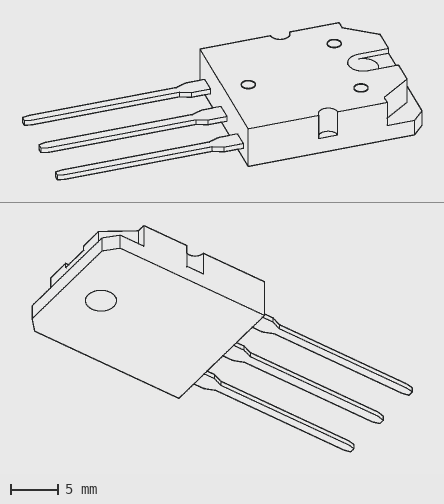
import cadquery as cq

width = 15.9
height = 4.8
total_length = 40.5
package_length = 19.93

tab_thickness = 1.85
tab_chamfer_x = 1.45
tab_chamfer_y = 1.35

body_setback = 0.97
body_end_width = 8.9
shoulder_y = -4.37
shoulder_inset = 1.0

hole_diameter = 3.3
slot_depth = 0.6

notch_radius = 1.05
notch_y = -10.98

mark_diameter = 1.5
mark_depth = 0.1
upper_mark_x = 4.4
upper_mark_y = -6.1
lower_mark_y = -17.2

lead_pitch = 5.43
lead_thickness = 0.6
lead_bottom = 1.35
lead_root_length = 2.15
lead_neck_length = 1.17
lead_tip_length = 0.8
lead_tip_width = 0.65
side_root_width = 1.95
side_lead_width = 0.97
center_root_width = 2.02
center_lead_width = 1.1


def symmetric_prism(right_side, bottom, thickness, center_x=0):
    """Extrude an outline given by its right half, mirrored about center_x."""
    right = [(center_x + x, y) for x, y in right_side]
    left = [(center_x - x, y) for x, y in reversed(right_side)]
    return cq.Workplane("XY").workplane(offset=bottom).polyline(right + left).close().extrude(thickness)


def make_tab():
    outline = [
        (width / 2 - tab_chamfer_x, 0),
        (width / 2, -tab_chamfer_y),
        (width / 2, -package_length),
    ]
    return symmetric_prism(outline, 0, tab_thickness)


def make_body():
    outline = [
        (body_end_width / 2, -body_setback),
        (width / 2 - shoulder_inset, shoulder_y),
        (width / 2, shoulder_y),
        (width / 2, -package_length),
    ]
    return symmetric_prism(outline, tab_thickness, height - tab_thickness)


def make_lead(center_x, root_width, lead_width):
    neck_start = -package_length - lead_root_length
    outline = [
        (root_width / 2, -package_length),
        (root_width / 2, neck_start),
        (lead_width / 2, neck_start - lead_neck_length),
        (lead_width / 2, -total_length + lead_tip_length),
        (lead_tip_width / 2, -total_length),
    ]
    return symmetric_prism(outline, lead_bottom, lead_thickness, center_x)


def cylinders(points, diameter, bottom, top):
    plane = cq.Workplane("XY").workplane(offset=bottom)
    return plane.pushPoints(points).circle(diameter / 2).extrude(top - bottom)


package = make_tab().union(make_body())

hole = cylinders([(0, shoulder_y)], hole_diameter, 0, height)
slot = cq.Workplane("XY").box(
    hole_diameter, -shoulder_y, slot_depth, centered=(True, False, False)
).translate((0, shoulder_y, height - slot_depth))
package = package.cut(hole).cut(slot)

notch_points = [(side * width / 2, notch_y) for side in (-1, 1)]
package = package.cut(cylinders(notch_points, 2 * notch_radius, tab_thickness, height))

mark_points = [
    (-upper_mark_x, upper_mark_y),
    (upper_mark_x, upper_mark_y),
    (0, lower_mark_y),
]
package = package.cut(cylinders(mark_points, mark_diameter, height - mark_depth, height))

result = package.union(make_lead(0, center_root_width, center_lead_width))
for side in (-1, 1):
    result = result.union(make_lead(side * lead_pitch, side_root_width, side_lead_width))